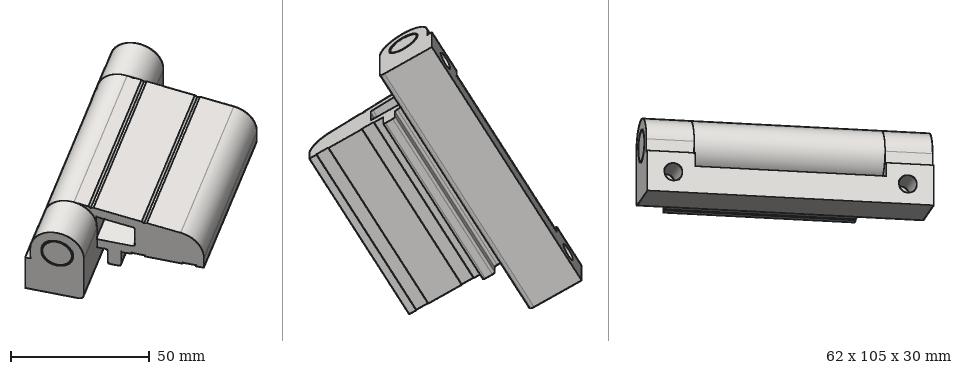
import cadquery as cq
import math

AXIS_HEIGHT = 20.0
TOTAL_LENGTH = 105.0
LEAF_LENGTH = 70.0
BARREL_RADIUS = 10.0
BARREL_TOP = AXIS_HEIGHT + BARREL_RADIUS
BARREL_BOTTOM = AXIS_HEIGHT - BARREL_RADIUS

PIN_DIAMETER = 12.0
PIN_END_DIAMETER = 11.0
PIN_CHAMFER = (PIN_DIAMETER - PIN_END_DIAMETER) / 2

FOOT_STEP = 2.0
FOOT_HEIGHT = 15.0
FOOT_LEFT = -BARREL_RADIUS - FOOT_STEP
FOOT_CORNER_RADIUS = 2.0
SCREW_HOLE_DIAMETER = 6.6
SCREW_HOLE_DEPTH = 15.0
SCREW_HOLE_HEIGHT = 7.5
SCREW_HOLE_SPACING = 86.0

LEAF_SLOPE = 7.0
LEAF_TIP = 50.0
NOSE_RADIUS = 10.0
WALL = 4.0
WINDOW_LEFT = 9.65
WINDOW_RIGHT = 24.2
WINDOW_RADIUS = 1.0

RIB_LEFT = 14.0
RIB_WIDTH = 5.0
RIB_BOTTOM = 3.0
RIB_TIP_RADIUS = 1.0
RIB_ROOT_RADIUS = 1.0

TOP_GROOVE_CENTRES = [7.7, 27.7]
TOP_GROOVE_WIDTH = 1.95
TOP_GROOVE_DEPTH = 0.5
BOTTOM_GROOVE_CENTRES = [25.4, 44.5]
BOTTOM_GROOVE_WIDTH = 5.0
BOTTOM_GROOVE_DEPTH = 0.5

SLOPE_SIN = math.sin(math.radians(LEAF_SLOPE))
SLOPE_COS = math.cos(math.radians(LEAF_SLOPE))
SLOPE_TAN = math.tan(math.radians(LEAF_SLOPE))


def extrude_along_y(profile, length):
    """Extrude an XZ profile symmetrically about the middle of the hinge."""
    return profile.extrude(length / 2, both=True)


def profile_plane():
    return cq.Workplane("XZ")


def top_height(x, inset=0.0):
    """Height of the sloping leaf top at x, moved inward by inset."""
    return AXIS_HEIGHT + (BARREL_RADIUS - inset) / SLOPE_COS - x * SLOPE_TAN


def pin_cylinder():
    """Full-length cylinder on the hinge axis, for the pin and for its bore."""
    profile = profile_plane().center(0, AXIS_HEIGHT).circle(PIN_DIAMETER / 2)
    return extrude_along_y(profile, TOTAL_LENGTH)


def make_frame():
    profile = (
        profile_plane()
        .moveTo(FOOT_LEFT, 0)
        .lineTo(BARREL_RADIUS, 0)
        .lineTo(BARREL_RADIUS, AXIS_HEIGHT)
        .threePointArc((0, BARREL_TOP), (-BARREL_RADIUS, AXIS_HEIGHT))
        .lineTo(-BARREL_RADIUS, FOOT_HEIGHT)
        .lineTo(FOOT_LEFT, FOOT_HEIGHT)
        .close()
    )
    block = extrude_along_y(profile, TOTAL_LENGTH)
    block = block.edges("|Y and >X and <Z").fillet(FOOT_CORNER_RADIUS)

    gap_width = BARREL_RADIUS - FOOT_LEFT
    gap = (
        cq.Workplane("XY", origin=(FOOT_LEFT + gap_width / 2, 0, BARREL_BOTTOM))
        .rect(gap_width, LEAF_LENGTH)
        .extrude(BARREL_TOP - BARREL_BOTTOM)
    )

    screw_holes = (
        cq.Workplane("YZ", origin=(FOOT_LEFT, 0, SCREW_HOLE_HEIGHT))
        .pushPoints([(-SCREW_HOLE_SPACING / 2, 0), (SCREW_HOLE_SPACING / 2, 0)])
        .circle(SCREW_HOLE_DIAMETER / 2)
        .extrude(SCREW_HOLE_DEPTH)
    )
    return block.cut(gap).cut(screw_holes).cut(pin_cylinder())


def leaf_body():
    """Barrel, plate and nose as one closed outline."""
    nose_x = LEAF_TIP - NOSE_RADIUS
    nose_tangent_x = nose_x + NOSE_RADIUS * SLOPE_SIN
    nose_z = top_height(nose_tangent_x) - NOSE_RADIUS * SLOPE_COS
    nose_mid = math.radians((90 - LEAF_SLOPE) / 2)
    profile = (
        profile_plane()
        .moveTo(0, BARREL_BOTTOM)
        .lineTo(LEAF_TIP, BARREL_BOTTOM)
        .lineTo(LEAF_TIP, nose_z)
        .threePointArc(
            (nose_x + NOSE_RADIUS * math.cos(nose_mid), nose_z + NOSE_RADIUS * math.sin(nose_mid)),
            (nose_tangent_x, top_height(nose_tangent_x)),
        )
        .lineTo(BARREL_RADIUS * SLOPE_SIN, AXIS_HEIGHT + BARREL_RADIUS * SLOPE_COS)
        .threePointArc((-BARREL_RADIUS, AXIS_HEIGHT), (0, BARREL_BOTTOM))
        .close()
    )
    return extrude_along_y(profile, LEAF_LENGTH)


def leaf_window():
    floor = BARREL_BOTTOM + WALL
    profile = (
        profile_plane()
        .moveTo(WINDOW_LEFT, floor)
        .lineTo(WINDOW_RIGHT, floor)
        .lineTo(WINDOW_RIGHT, top_height(WINDOW_RIGHT, WALL))
        .lineTo(WINDOW_LEFT, top_height(WINDOW_LEFT, WALL))
        .close()
    )
    return extrude_along_y(profile, LEAF_LENGTH).edges("|Y and >X").fillet(WINDOW_RADIUS)


def stop_rib():
    rib_right = RIB_LEFT + RIB_WIDTH
    profile = (
        profile_plane()
        .moveTo(RIB_LEFT, RIB_BOTTOM)
        .lineTo(rib_right, RIB_BOTTOM)
        .lineTo(rib_right, BARREL_BOTTOM)
        .lineTo(RIB_LEFT, BARREL_BOTTOM)
        .close()
    )
    return extrude_along_y(profile, LEAF_LENGTH).edges("|Y and <Z").fillet(RIB_TIP_RADIUS)


def top_groove(x):
    """V groove square to the sloping top."""
    half_x = TOP_GROOVE_WIDTH / 2
    profile = (
        profile_plane()
        .moveTo(x - half_x, top_height(x - half_x))
        .lineTo(x - TOP_GROOVE_DEPTH * SLOPE_SIN, top_height(x) - TOP_GROOVE_DEPTH * SLOPE_COS)
        .lineTo(x + half_x, top_height(x + half_x))
        .close()
    )
    return extrude_along_y(profile, LEAF_LENGTH)


def bottom_groove(x):
    profile = profile_plane().center(x, BARREL_BOTTOM).rect(BOTTOM_GROOVE_WIDTH, 2 * BOTTOM_GROOVE_DEPTH)
    return extrude_along_y(profile, LEAF_LENGTH)


def make_leaf():
    leaf = leaf_body().cut(leaf_window()).union(stop_rib())
    rib_root = cq.selectors.NearestToPointSelector((RIB_LEFT, 0, BARREL_BOTTOM))
    leaf = leaf.edges("|Y").edges(rib_root).fillet(RIB_ROOT_RADIUS)
    for x in TOP_GROOVE_CENTRES:
        leaf = leaf.cut(top_groove(x))
    for x in BOTTOM_GROOVE_CENTRES:
        leaf = leaf.cut(bottom_groove(x))
    return leaf.cut(pin_cylinder())


def make_pin():
    return pin_cylinder().faces("<Y or >Y").edges().chamfer(PIN_CHAMFER)


frame = make_frame()
leaf = make_leaf()
pin = make_pin()

result = cq.Compound.makeCompound([frame.val(), leaf.val(), pin.val()])